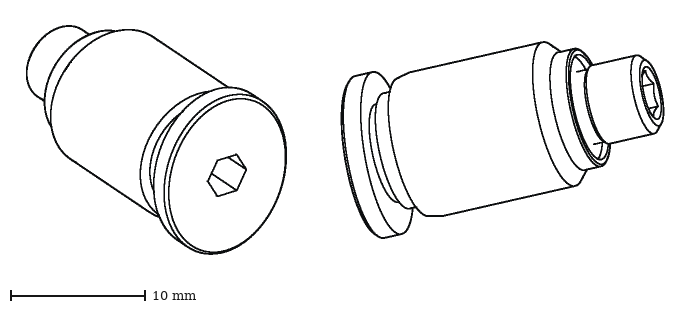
import cadquery as cq
import math

overall_length = 22.75
thread_end = 4.07
collar_front = 4.95
body_front = 6.4
body_taper_start = 17.97
body_rear = 19.0
sleeve_end = 20.35
flange_front = 21.11

thread_radius = 3.0
relief_radius = 2.78
collar_radius = 4.5
body_radius = 5.5
body_rear_radius = 5.28
sleeve_radius = 4.41
rear_neck_radius = 3.75

nose_chamfer = 0.5
collar_chamfer = 0.14

recess_radius = 4.0
recess_depth = 0.5
recess_floor = collar_front + recess_depth
root_fillet = 0.2

flange_width = 11.0
flange_height = 13.0
flange_chamfer = 0.25

hex_across_flats = 3.0
mouth_radius = 2.0
mouth_half_angle = 60.0


def turned_body():
    """Nose, collar, body and sleeve revolved about the X axis."""
    relief_step = thread_radius - relief_radius
    body_step = body_radius - collar_radius
    nose_profile = [
        (0, 0),
        (0, thread_radius - nose_chamfer),
        (nose_chamfer, thread_radius),
        (thread_end, thread_radius),
        (thread_end + relief_step, relief_radius),
        (recess_floor - root_fillet, relief_radius),
    ]
    body_profile = [
        (recess_floor, recess_radius),
        (collar_front, recess_radius),
        (collar_front, collar_radius - collar_chamfer),
        (collar_front + collar_chamfer, collar_radius),
        (body_front, collar_radius),
        (body_front + body_step, body_radius),
        (body_taper_start, body_radius),
        (body_rear, body_rear_radius),
        (body_rear, sleeve_radius),
        (sleeve_end, sleeve_radius),
        (sleeve_end, rear_neck_radius),
        (flange_front, rear_neck_radius),
        (flange_front, 0),
    ]
    return (
        cq.Workplane("XY")
        .polyline(nose_profile)
        .tangentArcPoint((recess_floor, relief_radius + root_fillet), relative=False)
        .polyline(body_profile, includeCurrent=True)
        .close()
        .revolve(360, (0, 0, 0), (1, 0, 0))
    )


def oval_flange():
    """Elliptical end flange with a chamfered rear rim."""
    return (
        cq.Workplane("YZ", origin=(flange_front, 0, 0))
        .ellipse(flange_width / 2, flange_height / 2)
        .extrude(overall_length - flange_front)
        .faces(">X")
        .chamfer(flange_chamfer)
    )


def hex_bore():
    """Hexagonal prism along the full length, with two corners pointing along Y."""
    across_corners = hex_across_flats / math.cos(math.radians(30))
    return cq.Workplane("YZ").polygon(6, across_corners).extrude(overall_length)


def bore_mouth():
    """Cone that opens the bore at the nose face."""
    cone_depth = mouth_radius / math.tan(math.radians(mouth_half_angle))
    return (
        cq.Workplane("XY")
        .polyline([(0, 0), (0, mouth_radius), (cone_depth, 0)])
        .close()
        .revolve(360, (0, 0, 0), (1, 0, 0))
    )


result = turned_body().union(oval_flange()).cut(hex_bore()).cut(bore_mouth())